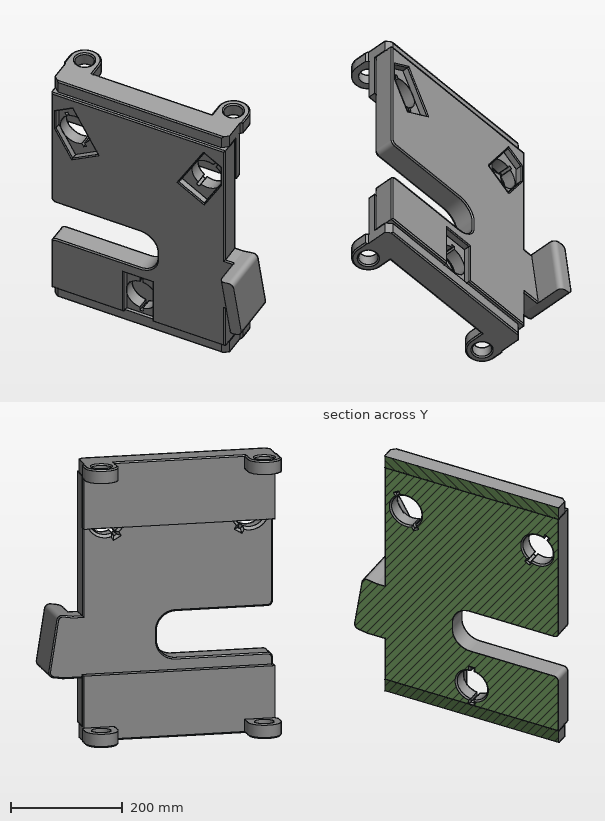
import cadquery as cq
import math

TOTAL_HEIGHT = 510.0
LUG_SPACING = 300.0
HANDLE_END_X = 236.5

FLANGE_THICKNESS = 25.0
BRACKET_HALF_WIDTH = 176.0
BRACKET_FRONT_Y = 7.0
BRACKET_BACK_Y = 55.5
STRIP_REACH = 120.5
CORNER_CUT_X = 11.0
CORNER_CUT_Y = 9.5
LUG_RADIUS = 30.0
LUG_CENTER_Y = 81.0
LUG_NECK_Y = 60.5
LUG_HOLE_RADIUS = 17.5
BRACKET_CHAMFER = 2.5

PLATE_HALF_WIDTH = 175.0
PLATE_THICKNESS = 42.0
PLATE_HALF_HEIGHT = TOTAL_HEIGHT / 2 - FLANGE_THICKNESS
PLATE_CHAMFER = 2.5

SLOT_TOP_Z = -27.5
SLOT_HEIGHT = 85.5
SLOT_BOTTOM_Z = SLOT_TOP_Z - SLOT_HEIGHT
SLOT_END_X = 39.0
SLOT_END_RADIUS = 35.0
SLOT_MOUTH_RADIUS = 9.0

TAB_TOP_Z = SLOT_TOP_Z
TAB_BOTTOM_Z = -141.5
HANDLE_ANGLE = math.radians(9)
HANDLE_THICKNESS = 28.0
HANDLE_CORNER_RADIUS = 10.0
HANDLE_FRONT_Y = -55.0

POCKET_HALF_WIDTH = 29.5
POCKET_HALF_LENGTH = 51.0
POCKET_DEPTH = 13.5
POCKET_CHAMFER = 2.0
POCKET_LIMIT_X = 166.5
POCKET_TILT = 30
UPPER_POCKET_X = 132.5
UPPER_POCKET_Z = 149.5
LOWER_POCKET_Z = -187.5
HOLE_RADIUS = 30.5
KEY_WIDTH = 6.0
KEY_SPAN = 75.5
HOLE_CHAMFER = 5.0


def prism(points, y_start, y_end):
    """Straight prism along Y over an outline given in X and Z."""
    face = cq.Workplane("XZ", origin=(0, y_start, 0)).polyline(points).close()
    return face.extrude(y_start - y_end)


def edges_at(body, points):
    """Edges along Y that pass through the given X-Z points."""
    tolerance = 0.05

    def is_at_a_point(edge):
        center = edge.Center()
        return any(math.hypot(center.x - x, center.z - z) < tolerance for x, z in points)

    return body.edges("|Y").filter(is_at_a_point)


def handle_corners():
    sin_a = math.sin(HANDLE_ANGLE)
    cos_a = math.cos(HANDLE_ANGLE)
    corner_center_x = HANDLE_END_X - HANDLE_CORNER_RADIUS
    inner_bottom_x = (
        corner_center_x
        - (HANDLE_THICKNESS - HANDLE_CORNER_RADIUS) * cos_a
        + HANDLE_CORNER_RADIUS * sin_a
    )
    inner_top_x = inner_bottom_x - (TAB_TOP_Z - TAB_BOTTOM_Z) * math.tan(HANDLE_ANGLE)
    across_x = HANDLE_THICKNESS * cos_a
    across_z = HANDLE_THICKNESS * sin_a
    return [
        (inner_top_x, TAB_TOP_Z),
        (inner_top_x + across_x, TAB_TOP_Z + across_z),
        (inner_bottom_x + across_x, TAB_BOTTOM_Z + across_z),
        (inner_bottom_x, TAB_BOTTOM_Z),
    ]


def make_handle_blade():
    corners = handle_corners()
    blade = prism(corners, HANDLE_FRONT_Y, PLATE_THICKNESS / 2)
    blade = edges_at(blade, corners[1:3]).fillet(HANDLE_CORNER_RADIUS)
    inner_mid_x = (corners[0][0] + corners[3][0]) / 2
    inner_mid_z = (TAB_TOP_Z + TAB_BOTTOM_Z) / 2
    front_edge = cq.selectors.NearestToPointSelector((inner_mid_x, HANDLE_FRONT_Y, inner_mid_z))
    return blade.edges(front_edge).fillet(HANDLE_CORNER_RADIUS)


def make_plate_blank():
    corners = handle_corners()
    slot_mouth = [(-PLATE_HALF_WIDTH, SLOT_BOTTOM_Z), (-PLATE_HALF_WIDTH, SLOT_TOP_Z)]
    slot_end = [(SLOT_END_X, SLOT_BOTTOM_Z), (SLOT_END_X, SLOT_TOP_Z)]
    outline = [
        (-PLATE_HALF_WIDTH, PLATE_HALF_HEIGHT),
        (PLATE_HALF_WIDTH, PLATE_HALF_HEIGHT),
        (PLATE_HALF_WIDTH, TAB_TOP_Z),
        *corners,
        (PLATE_HALF_WIDTH, TAB_BOTTOM_Z),
        (PLATE_HALF_WIDTH, -PLATE_HALF_HEIGHT),
        (-PLATE_HALF_WIDTH, -PLATE_HALF_HEIGHT),
        slot_mouth[0],
        *slot_end,
        slot_mouth[1],
    ]
    blank = prism(outline, 0, PLATE_THICKNESS)
    blank = edges_at(blank, slot_mouth).fillet(SLOT_MOUTH_RADIUS)
    blank = edges_at(blank, slot_end).fillet(SLOT_END_RADIUS)
    blank = edges_at(blank, corners[1:3]).fillet(HANDLE_CORNER_RADIUS)
    return blank.faces("<Y or >Y").edges().chamfer(PLATE_CHAMFER)


def make_keyed_hole_cutter():
    """Round hole with two opposite keyways, chamfered where it leaves the plate's back."""
    drilling_depth = PLATE_THICKNESS - POCKET_DEPTH
    floor = cq.Workplane("XZ", origin=(0, POCKET_DEPTH, 0))
    back = cq.Workplane("XZ", origin=(0, PLATE_THICKNESS, 0))
    hole = floor.circle(HOLE_RADIUS).extrude(-drilling_depth)
    hole_rim = back.circle(HOLE_RADIUS + HOLE_CHAMFER).extrude(HOLE_CHAMFER, taper=45)
    keys = floor.rect(KEY_WIDTH, KEY_SPAN).extrude(-drilling_depth)
    key_rim = back.rect(KEY_WIDTH + 2 * HOLE_CHAMFER, KEY_SPAN + 2 * HOLE_CHAMFER)
    key_rim = key_rim.extrude(HOLE_CHAMFER, taper=45)
    return hole.union(hole_rim).union(keys).union(key_rim)


def make_pocket_cutter(x, z, tilt):
    """Chamfered rectangular pocket with a keyed hole through its floor."""

    def place(body):
        return body.rotate((0, 0, 0), (0, 1, 0), tilt).translate((x, 0, z))

    recess = cq.Workplane("XZ").rect(2 * POCKET_HALF_WIDTH, 2 * POCKET_HALF_LENGTH)
    recess = place(recess.extrude(-POCKET_DEPTH))
    limit = cq.Workplane("XY").box(2 * POCKET_LIMIT_X, 2 * PLATE_THICKNESS, TOTAL_HEIGHT)
    recess = recess.intersect(limit)
    mouth = recess.faces("<Y").wires().toPending().offset2D(POCKET_CHAMFER, "intersection")
    mouth = mouth.extrude(-POCKET_CHAMFER, taper=45)
    return recess.union(mouth).union(place(make_keyed_hole_cutter()))


def make_plate():
    plate = make_plate_blank().union(make_handle_blade())
    pockets = [
        (-UPPER_POCKET_X, UPPER_POCKET_Z, -POCKET_TILT),
        (UPPER_POCKET_X, UPPER_POCKET_Z, POCKET_TILT),
        (0, LOWER_POCKET_Z, 0),
    ]
    for x, z, tilt in pockets:
        plate = plate.cut(make_pocket_cutter(x, z, tilt))
    return plate


def make_top_bracket():
    """Flange with two lugs over the plate end, and a strip down the plate's back."""
    flange_z = PLATE_HALF_HEIGHT
    lug_x = LUG_SPACING / 2
    lug_outer_x = lug_x + LUG_RADIUS
    lug_inner_x = lug_x - LUG_RADIUS
    neck_end_y = LUG_NECK_Y - (lug_outer_x - BRACKET_HALF_WIDTH)
    half_flange = (
        cq.Workplane("XY", origin=(0, 0, flange_z))
        .moveTo(0, BRACKET_FRONT_Y)
        .lineTo(BRACKET_HALF_WIDTH - CORNER_CUT_X, BRACKET_FRONT_Y)
        .lineTo(BRACKET_HALF_WIDTH, BRACKET_FRONT_Y + CORNER_CUT_Y)
        .lineTo(BRACKET_HALF_WIDTH, neck_end_y)
        .lineTo(lug_outer_x, LUG_NECK_Y)
        .lineTo(lug_outer_x, LUG_CENTER_Y)
        .threePointArc((lug_x, LUG_CENTER_Y + LUG_RADIUS), (lug_inner_x, LUG_CENTER_Y))
        .lineTo(lug_inner_x, BRACKET_BACK_Y)
        .lineTo(0, BRACKET_BACK_Y)
        .close()
        .extrude(FLANGE_THICKNESS)
    )
    flange = half_flange.union(half_flange.mirror("YZ"))
    holes = cq.Workplane("XY", origin=(0, 0, flange_z))
    holes = holes.pushPoints([(-lug_x, LUG_CENTER_Y), (lug_x, LUG_CENTER_Y)])
    flange = flange.cut(holes.circle(LUG_HOLE_RADIUS).extrude(FLANGE_THICKNESS))

    def is_chamfered(edge):
        center = edge.Center()
        on_plain_end = abs(center.x) > lug_x and BRACKET_FRONT_Y < center.y < LUG_NECK_Y
        return not on_plain_end

    flange = flange.faces(">Z").edges().filter(is_chamfered).chamfer(BRACKET_CHAMFER)

    strip_height = STRIP_REACH - FLANGE_THICKNESS
    strip = cq.Workplane("XY").box(
        2 * BRACKET_HALF_WIDTH,
        BRACKET_BACK_Y - PLATE_THICKNESS,
        strip_height,
        centered=(True, False, False),
    )
    strip = strip.translate((0, PLATE_THICKNESS, flange_z - strip_height))
    return flange.union(strip)


plate = make_plate()
top_bracket = make_top_bracket()
bottom_bracket = top_bracket.mirror("XY")

result = cq.Compound.makeCompound([plate.val(), top_bracket.val(), bottom_bracket.val()])